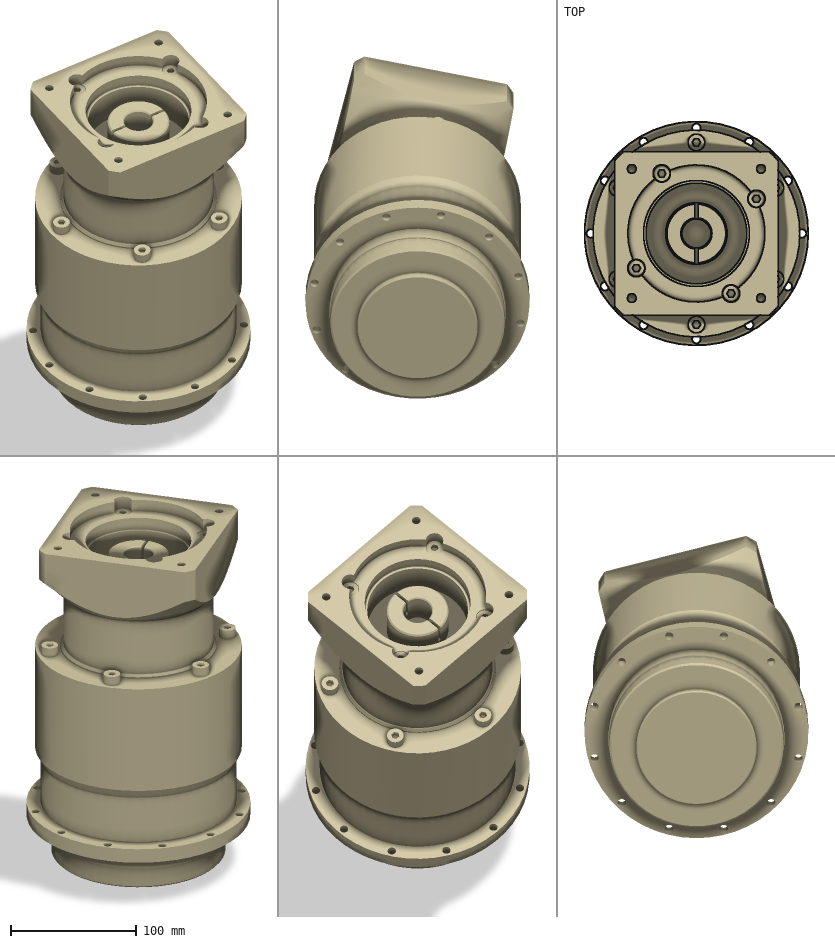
import cadquery as cq
import math

TOTAL_HEIGHT = 290.0

HUB_RADIUS = 48.0
HUB_HEIGHT = 5.8
HUB_CHAMFER = 1.0
PILOT_RADIUS = 69.5
PILOT_CHAMFER = 1.5
SEAT_RADIUS = 70.5
SEAT_BOTTOM_Z = 23.5
SEAT_TAPER_DEPTH = 0.5
SEAT_TAPER_HEIGHT = 1.2
RELIEF_DEPTH = 1.2
RELIEF_HEIGHT = 1.2
FLANGE_DIAMETER = 179.0
FLANGE_BOTTOM_Z = 37.7
FLANGE_TOP_Z = 49.5

LOWER_BODY_RADIUS = 78.3
TAPER_BOTTOM_Z = 90.0
BODY_RADIUS = 82.6
BODY_BOTTOM_Z = 98.0
BODY_TOP_Z = 188.0
COLLAR_STEP_RADIUS = 62.5
COLLAR_STEP_HEIGHT = 3.0
COLLAR_STEP_CHAMFER = 1.7
NECK_RADIUS = 60.0

PLATE_SIDE = 130.5
PLATE_CORNER_RADIUS = 87.5
CONE_BOTTOM_Z = 237.2
CONE_TOP_Z = 263.5

RECESS_RADIUS = 54.8
RECESS_DEPTH = 10.0
PILOT_BORE_RADIUS = 42.3
PILOT_BORE_DEPTH = 20.0
INNER_BORE_RADIUS = 40.3
INNER_BORE_DEPTH = 47.3

CLAMP_RADIUS = 24.6
CLAMP_TOP_Z = 269.5
CLAMP_CHAMFER = 1.2
SHAFT_BORE_RADIUS = 11.5
SHAFT_BORE_CHAMFER = 1.0
SLIT_WIDTH = 2.5
SLIT_DEPTH = 17.5

HEAD_RADIUS = 6.7
HEAD_HEIGHT = 7.8
SOCKET_ACROSS_CORNERS = 6.7
SOCKET_DEPTH = 4.0
BODY_SCREW_COUNT = 6
BODY_SCREW_CIRCLE_RADIUS = 72.8
BODY_SCREW_START_ANGLE = 30.0
PLATE_SCREW_COUNT = 4
PLATE_SCREW_CIRCLE_RADIUS = 55.5
PLATE_SCREW_START_ANGLE = 30.0
PLATE_SCREW_TOP_DEPTH = 10.5
POCKET_CLEARANCE = 0.3

FLANGE_HOLE_COUNT = 12
FLANGE_HOLE_DIAMETER = 6.7
FLANGE_HOLE_CIRCLE_RADIUS = 84.5
PLATE_HOLE_SPACING = 103.2
PLATE_HOLE_DIAMETER = 7.0
PLATE_HOLE_DEPTH = 17.5
DRILL_TIP_ANGLE = 118.0


def cylinder(radius, bottom_z, top_z):
    return cq.Workplane("XY").workplane(offset=bottom_z).circle(radius).extrude(top_z - bottom_z)


def circle_points(count, radius, start_angle):
    """Points evenly spaced on a circle about the Z axis."""
    angles = [math.radians(start_angle + i * 360 / count) for i in range(count)]
    return [(radius * math.cos(a), radius * math.sin(a)) for a in angles]


def make_housing():
    """Turned body from the output hub up to the top of the neck."""
    flange_radius = FLANGE_DIAMETER / 2
    relief_radius = LOWER_BODY_RADIUS - RELIEF_DEPTH
    step_top_z = BODY_TOP_Z + COLLAR_STEP_HEIGHT
    profile = [
        (0, 0),
        (HUB_RADIUS - HUB_CHAMFER, 0),
        (HUB_RADIUS, HUB_CHAMFER),
        (HUB_RADIUS, HUB_HEIGHT),
        (PILOT_RADIUS - PILOT_CHAMFER, HUB_HEIGHT),
        (PILOT_RADIUS, HUB_HEIGHT + PILOT_CHAMFER),
        (PILOT_RADIUS, SEAT_BOTTOM_Z),
        (SEAT_RADIUS, SEAT_BOTTOM_Z),
        (SEAT_RADIUS, FLANGE_BOTTOM_Z - SEAT_TAPER_HEIGHT),
        (SEAT_RADIUS - SEAT_TAPER_DEPTH, FLANGE_BOTTOM_Z),
        (flange_radius, FLANGE_BOTTOM_Z),
        (flange_radius, FLANGE_TOP_Z),
        (relief_radius, FLANGE_TOP_Z),
        (relief_radius, FLANGE_TOP_Z + RELIEF_HEIGHT),
        (LOWER_BODY_RADIUS, FLANGE_TOP_Z + RELIEF_HEIGHT),
        (LOWER_BODY_RADIUS, TAPER_BOTTOM_Z),
        (BODY_RADIUS, BODY_BOTTOM_Z),
        (BODY_RADIUS, BODY_TOP_Z),
        (COLLAR_STEP_RADIUS, BODY_TOP_Z),
        (COLLAR_STEP_RADIUS, step_top_z - COLLAR_STEP_CHAMFER),
        (COLLAR_STEP_RADIUS - COLLAR_STEP_CHAMFER, step_top_z),
        (NECK_RADIUS, step_top_z),
        (NECK_RADIUS, CONE_BOTTOM_Z),
        (0, CONE_BOTTOM_Z),
    ]
    return cq.Workplane("XZ").polyline(profile).close().revolve(360, (0, 0), (0, 1))


def make_plate():
    """Square plate trimmed by a turned blank, so the cone meets the flat sides in curves."""
    profile = [
        (0, CONE_BOTTOM_Z),
        (NECK_RADIUS, CONE_BOTTOM_Z),
        (PLATE_CORNER_RADIUS, CONE_TOP_Z),
        (PLATE_CORNER_RADIUS, TOTAL_HEIGHT),
        (0, TOTAL_HEIGHT),
    ]
    blank = cq.Workplane("XZ").polyline(profile).close().revolve(360, (0, 0), (0, 1))
    square = (
        cq.Workplane("XY")
        .workplane(offset=CONE_BOTTOM_Z)
        .rect(PLATE_SIDE, PLATE_SIDE)
        .extrude(TOTAL_HEIGHT - CONE_BOTTOM_Z)
    )
    return blank.intersect(square)


def make_opening():
    """Stepped round cutter, widest at the top of the plate."""
    opening = cylinder(RECESS_RADIUS, TOTAL_HEIGHT - RECESS_DEPTH, TOTAL_HEIGHT)
    opening = opening.union(cylinder(PILOT_BORE_RADIUS, TOTAL_HEIGHT - PILOT_BORE_DEPTH, TOTAL_HEIGHT))
    return opening.union(cylinder(INNER_BORE_RADIUS, TOTAL_HEIGHT - INNER_BORE_DEPTH, TOTAL_HEIGHT))


def make_clamp():
    """Bored hub standing on the floor of the opening, with a slit running along Y."""
    floor_z = TOTAL_HEIGHT - INNER_BORE_DEPTH
    clamp = cylinder(CLAMP_RADIUS, floor_z, CLAMP_TOP_Z).faces(">Z").chamfer(CLAMP_CHAMFER)
    clamp = clamp.cut(cylinder(SHAFT_BORE_RADIUS, floor_z, CLAMP_TOP_Z))
    bore_edge = cq.selectors.RadiusNthSelector(0)
    clamp = clamp.faces(">Z").edges(bore_edge).chamfer(SHAFT_BORE_CHAMFER)
    slit = (
        cq.Workplane("XY")
        .workplane(offset=CLAMP_TOP_Z - SLIT_DEPTH)
        .rect(SLIT_WIDTH, 2 * CLAMP_RADIUS)
        .extrude(SLIT_DEPTH)
    )
    return clamp.cut(slit)


def make_screw_heads(points, top_z):
    """Cylindrical screw heads with hexagon sockets."""
    heads = (
        cq.Workplane("XY")
        .workplane(offset=top_z - HEAD_HEIGHT)
        .pushPoints(points)
        .circle(HEAD_RADIUS)
        .extrude(HEAD_HEIGHT)
    )
    sockets = (
        cq.Workplane("XY")
        .workplane(offset=top_z - SOCKET_DEPTH)
        .pushPoints(points)
        .polygon(6, SOCKET_ACROSS_CORNERS)
        .extrude(SOCKET_DEPTH)
    )
    return heads.cut(sockets)


def make_screw_pockets(points, bottom_z):
    """Counterbores that clear the plate screw heads and open at the top of the plate."""
    return (
        cq.Workplane("XY")
        .workplane(offset=bottom_z)
        .pushPoints(points)
        .circle(HEAD_RADIUS + POCKET_CLEARANCE)
        .extrude(TOTAL_HEIGHT - bottom_z)
    )


def make_flange_holes():
    points = circle_points(FLANGE_HOLE_COUNT, FLANGE_HOLE_CIRCLE_RADIUS, 0)
    return (
        cq.Workplane("XY")
        .workplane(offset=FLANGE_BOTTOM_Z)
        .pushPoints(points)
        .circle(FLANGE_HOLE_DIAMETER / 2)
        .extrude(FLANGE_TOP_Z - FLANGE_BOTTOM_Z)
    )


def make_plate_holes():
    """Blind drilled holes with conical tips, one near each corner of the plate."""
    radius = PLATE_HOLE_DIAMETER / 2
    shoulder_z = TOTAL_HEIGHT - PLATE_HOLE_DEPTH
    tip_z = shoulder_z - radius / math.tan(math.radians(DRILL_TIP_ANGLE / 2))
    profile = [(0, tip_z), (radius, shoulder_z), (radius, TOTAL_HEIGHT), (0, TOTAL_HEIGHT)]
    drill = cq.Workplane("XZ").polyline(profile).close().revolve(360, (0, 0), (0, 1)).val()
    return (
        cq.Workplane("XY")
        .rect(PLATE_HOLE_SPACING, PLATE_HOLE_SPACING, forConstruction=True)
        .vertices()
        .eachpoint(lambda place: drill.moved(place))
    )


body_screws = circle_points(BODY_SCREW_COUNT, BODY_SCREW_CIRCLE_RADIUS, BODY_SCREW_START_ANGLE)
plate_screws = circle_points(PLATE_SCREW_COUNT, PLATE_SCREW_CIRCLE_RADIUS, PLATE_SCREW_START_ANGLE)
plate_screw_top_z = TOTAL_HEIGHT - PLATE_SCREW_TOP_DEPTH

result = (
    make_housing()
    .union(make_plate())
    .cut(make_opening())
    .cut(make_screw_pockets(plate_screws, plate_screw_top_z - HEAD_HEIGHT))
    .cut(make_plate_holes())
    .cut(make_flange_holes())
    .union(make_clamp())
    .union(make_screw_heads(plate_screws, plate_screw_top_z))
    .union(make_screw_heads(body_screws, BODY_TOP_Z + HEAD_HEIGHT))
)